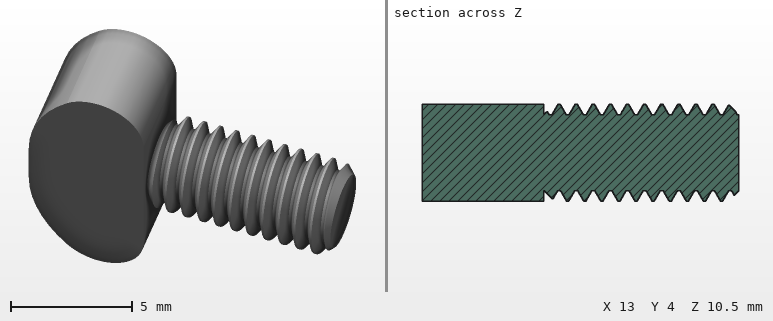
import cadquery as cq
import math

total_length = 13.0
thickness = 4.0
head_length = 5.0
flat_half_height = 1.0
tip_radius = 2.0
tip_center_z = 3.24
back_radius = 5.0
pitch = 0.7
thread_depth = 0.43
crest_width = 0.09
flank_angle = 30.0
crest_x = 5.8
ridge_overlap = 0.04
envelope_clearance = 0.13
lead_in_turns = 3
run_out_turns = 2

major_radius = thickness / 2
minor_radius = major_radius - thread_depth
tip_center_x = head_length - tip_radius
tip_z = tip_center_z + tip_radius


def make_head():
    """D-shaped head: tangent back arcs and tip arcs between two flats."""
    tangent_angle = math.atan2(tip_center_z - flat_half_height, tip_center_x - back_radius)
    middle_angle = (math.pi + tangent_angle) / 2

    def on_back_arc(angle):
        return (
            back_radius * (1 + math.cos(angle)),
            flat_half_height + back_radius * math.sin(angle),
        )

    upper_tangent = on_back_arc(tangent_angle)
    upper_middle = on_back_arc(middle_angle)
    lower_tangent = (upper_tangent[0], -upper_tangent[1])
    lower_middle = (upper_middle[0], -upper_middle[1])
    return (
        cq.Workplane("XZ")
        .moveTo(0, -flat_half_height)
        .lineTo(0, flat_half_height)
        .threePointArc(upper_middle, upper_tangent)
        .threePointArc((tip_center_x, tip_z), (head_length, tip_center_z))
        .lineTo(head_length, -tip_center_z)
        .threePointArc((tip_center_x, -tip_z), lower_tangent)
        .threePointArc(lower_middle, (0, -flat_half_height))
        .close()
        .extrude(thickness / 2, both=True)
    )


def make_ridge():
    """Right-handed helical ridge along X, longer than the shaft at both ends."""
    start_x = crest_x + pitch / 2 - lead_in_turns * pitch
    length = total_length - start_x + run_out_turns * pitch
    base_radius = minor_radius - ridge_overlap
    half_crest = crest_width / 2
    flank_run = (major_radius - base_radius) * math.tan(math.radians(flank_angle))
    half_base = half_crest + flank_run
    helix = cq.Workplane(obj=cq.Wire.makeHelix(pitch, length, base_radius))
    return (
        cq.Workplane("XZ")
        .polyline([
            (base_radius, -half_base),
            (major_radius, -half_crest),
            (major_radius, half_crest),
            (base_radius, half_base),
        ])
        .close()
        .sweep(helix, isFrenet=True)
        .rotate((0, 0, 0), (0, 1, 0), 90)
        .translate((start_x, 0, 0))
    )


def make_envelope():
    """Double cone that bevels both ends of the thread at 45 degrees, clear of the crests between."""
    bevel = thread_depth + envelope_clearance
    outer_radius = minor_radius + bevel
    return (
        cq.Workplane("XZ")
        .polyline([
            (head_length, 0),
            (head_length, minor_radius),
            (head_length + bevel, outer_radius),
            (total_length - bevel, outer_radius),
            (total_length, minor_radius),
            (total_length, 0),
        ])
        .close()
        .revolve(360, (0, 0, 0), (1, 0, 0))
    )


def make_shaft():
    """Threaded shaft, cut to length from a core that outruns the ridge at both ends."""
    core_end = total_length + (run_out_turns + 1) * pitch
    core = (
        cq.Workplane("YZ", origin=(tip_center_x, 0, 0))
        .circle(minor_radius)
        .extrude(core_end - tip_center_x)
    )
    return core.union(make_ridge()).intersect(make_envelope())


result = make_head().union(make_shaft())